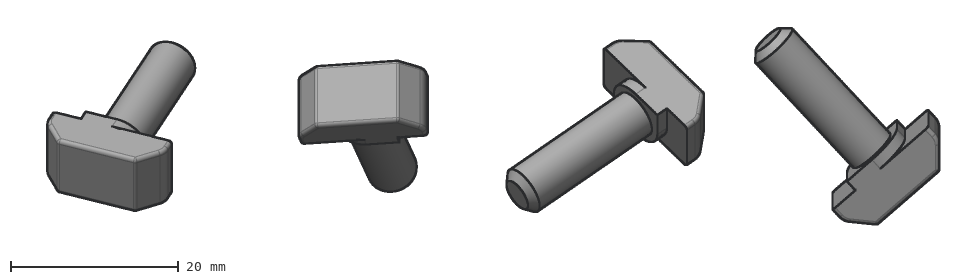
import cadquery as cq

total_length = 25.0
head_width = 15.4
head_height = 8.0
head_depth = 5.0

front_width = 10.0
straight_side = 2.0
shoulder_radius = 2.0
edge_radius = 0.5

neck_depth = 1.5
shank_diameter = 6.0
tip_chamfer = 1.0

neck_end = head_depth + neck_depth
shank_length = total_length - neck_end


def make_head():
    """Tapered T-head with rounded edges everywhere except around its seating face."""
    half_width = head_width / 2
    half_front = front_width / 2
    shoulder_y = head_depth - straight_side
    outline = [
        (-half_front, 0),
        (half_front, 0),
        (half_width, shoulder_y),
        (half_width, head_depth),
        (-half_width, head_depth),
        (-half_width, shoulder_y),
    ]
    head = (
        cq.Workplane("XY")
        .polyline(outline)
        .close()
        .extrude(head_height / 2, both=True)
    )
    shoulder_zone = cq.selectors.BoxSelector(
        (-head_width, shoulder_y - 0.25, -0.25),
        (head_width, shoulder_y + 0.25, 0.25),
    )
    head = head.edges("|Z").edges(shoulder_zone).fillet(shoulder_radius)
    front_corners = head.faces("<Y").edges("|Z")
    head = front_corners.fillet(edge_radius)
    return head.faces("|Z").edges("not >Y").fillet(edge_radius)


def make_neck():
    """Round neck with two diagonally opposite quadrants filled out to square corners."""
    neck_radius = head_height / 2
    plane = cq.Workplane("XZ", origin=(0, neck_end, 0))
    neck = plane.circle(neck_radius).extrude(neck_depth)
    for side in (-1, 1):
        corner = plane.center(side * neck_radius / 2, -side * neck_radius / 2)
        neck = neck.union(corner.rect(neck_radius, neck_radius).extrude(neck_depth))
    return neck


def make_shank():
    """Cylindrical shank with a chamfered tip."""
    return (
        cq.Workplane("XZ", origin=(0, neck_end, 0))
        .circle(shank_diameter / 2)
        .extrude(-shank_length)
        .faces(">Y")
        .chamfer(tip_chamfer)
    )


result = make_head().union(make_neck()).union(make_shank())